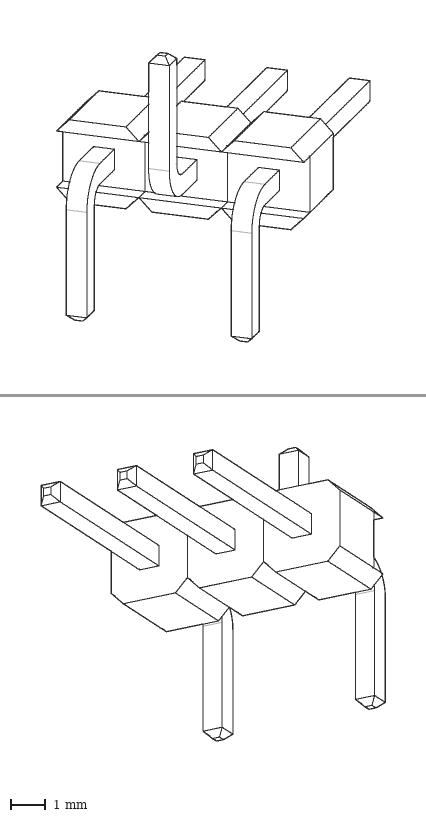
import cadquery as cq


position_count = 3
pitch = 2.54

block_length = pitch
block_chamfer = 0.4
channel_floor_length = 2.0
channel_height = pitch - 2 * block_chamfer
channel_depth = block_length - channel_floor_length

pin_width = 0.64
tip_chamfer = 0.2
tail_projection = 6.0
leg_projection = 1.82
leg_reach = 4.27
bend_radius = 0.8

block_back = block_length / 2
block_front = -block_length / 2
tail_end = block_back + tail_projection
leg_axis = block_front - leg_projection + pin_width / 2


def make_block():
    """Insulator block centred on the pin axis."""
    block = (
        cq.Workplane("XY")
        .box(pitch, block_length, pitch)
        .edges("|Y")
        .chamfer(block_chamfer)
    )
    channel = (
        cq.Workplane("XY")
        .box(pitch, channel_depth, channel_height)
        .translate((0, block_front + channel_depth / 2, 0))
    )
    return block.cut(channel)


def make_pin():
    """Square pin with a rounded bend, its leg pointing down, and both tips chamfered."""
    path = (
        cq.Workplane("YZ")
        .moveTo(tail_end, 0)
        .lineTo(leg_axis + bend_radius, 0)
        .radiusArc((leg_axis, -bend_radius), -bend_radius)
        .lineTo(leg_axis, -leg_reach)
    )
    pin = (
        cq.Workplane("XZ", origin=(0, tail_end, 0))
        .rect(pin_width, pin_width)
        .sweep(path)
    )
    pin = pin.faces(">Y").chamfer(tip_chamfer)
    return pin.faces("<Z").chamfer(tip_chamfer)


def make_position(index):
    """Block and pin fused into one body; every second leg points up."""
    body = make_block().union(make_pin())
    if index % 2 == 1:
        body = body.rotate((0, 0, 0), (0, 1, 0), 180)
    x = (index - (position_count - 1) / 2) * pitch
    return body.translate((x, 0, 0))


positions = [make_position(index).solids().val() for index in range(position_count)]

result = cq.Compound.makeCompound(positions)